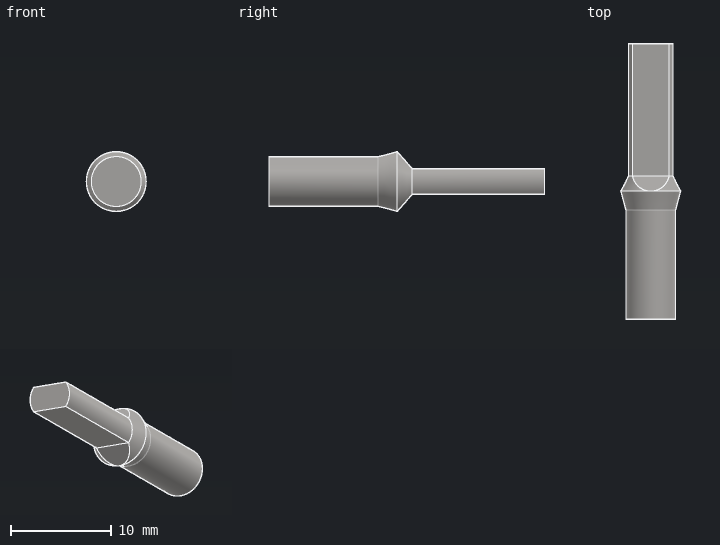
import cadquery as cq

total_length = 27.51
body_length = 10.9
front_cone_length = 1.9
rear_cone_length = 1.5

body_diameter = 4.98
collar_diameter = 5.99
shank_diameter = 4.47

flat_thickness = 2.58

body_radius = body_diameter / 2
collar_radius = collar_diameter / 2
shank_radius = shank_diameter / 2

collar_front = body_length
collar_peak = collar_front + front_cone_length
shank_start = collar_peak + rear_cone_length


def turned_blank():
    """Body, double-cone collar and round shank, revolved about the Y axis."""
    return (
        cq.Workplane("XY")
        .lineTo(body_radius, 0)
        .lineTo(body_radius, collar_front)
        .lineTo(collar_radius, collar_peak)
        .lineTo(shank_radius, shank_start)
        .lineTo(shank_radius, total_length)
        .lineTo(0, total_length)
        .close()
        .revolve(axisStart=(0, 0), axisEnd=(0, 1))
    )


def flat_cutter(side):
    """Material outside one flat, with a ramp rising to the collar peak; side is +1 or -1 in Z."""
    flat_height = side * flat_thickness / 2
    peak_height = side * collar_radius
    return (
        cq.Workplane("YZ")
        .moveTo(collar_peak, peak_height)
        .lineTo(shank_start, flat_height)
        .lineTo(total_length, flat_height)
        .lineTo(total_length, peak_height)
        .close()
        .extrude(collar_radius, both=True)
    )


result = turned_blank()
for side in (1, -1):
    result = result.cut(flat_cutter(side))